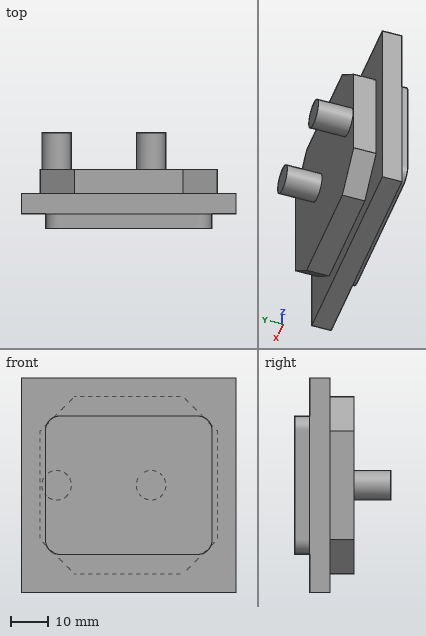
import cadquery as cq

PLATE_SIDE = 58.0
PLATE_THICKNESS = 5.55

PAD_WIDTH = 44.95
PAD_HEIGHT = 37.35
PAD_THICKNESS = 4.0
PAD_CORNER_RADIUS = 3.8

BLOCK_SIDE = 47.9
BLOCK_THICKNESS = 6.45
BLOCK_CORNER_CUT = 9.35

PIN_DIAMETER = 8.0
PIN_LENGTH = 9.9
PIN_SPACING = 25.5
FIRST_PIN_X = -19.5
PIN_COUNT = 2

PLATE_FRONT_Y = PAD_THICKNESS
BLOCK_FRONT_Y = PLATE_FRONT_Y + PLATE_THICKNESS
PIN_BASE_Y = BLOCK_FRONT_Y + BLOCK_THICKNESS


def slab(width, height, front_y, thickness):
    """Rectangular slab centred on the Y axis, reaching from front_y toward +Y."""
    box = cq.Workplane("XY").box(width, thickness, height, centered=(True, False, True))
    return box.translate((0, front_y, 0))


def make_pad():
    return slab(PAD_WIDTH, PAD_HEIGHT, 0, PAD_THICKNESS).edges("|Y").fillet(PAD_CORNER_RADIUS)


def make_plate():
    return slab(PLATE_SIDE, PLATE_SIDE, PLATE_FRONT_Y, PLATE_THICKNESS)


def make_block():
    block = slab(BLOCK_SIDE, BLOCK_SIDE, BLOCK_FRONT_Y, BLOCK_THICKNESS)
    return block.edges("|Y").chamfer(BLOCK_CORNER_CUT)


def make_pin(x):
    pin = cq.Workplane("XZ").circle(PIN_DIAMETER / 2).extrude(-PIN_LENGTH)
    return pin.translate((x, PIN_BASE_Y, 0))


pad = make_pad()
plate = make_plate()
block = make_block()
pins = [make_pin(FIRST_PIN_X + index * PIN_SPACING) for index in range(PIN_COUNT)]

result = cq.Compound.makeCompound([pad.val(), plate.val(), block.val(), *[pin.val() for pin in pins]])